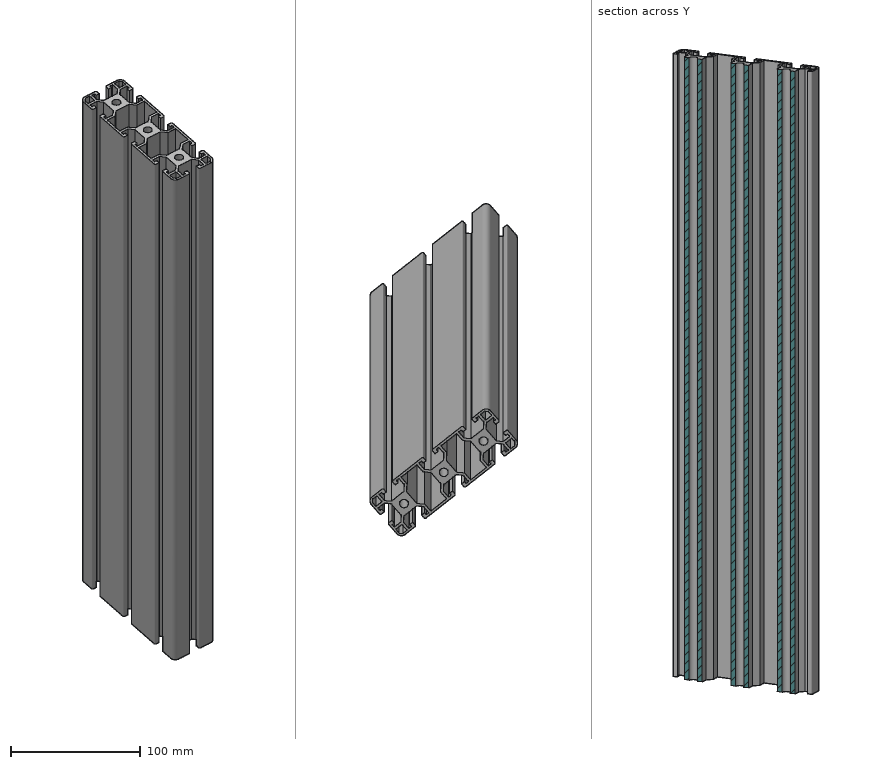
import cadquery as cq
import math

length = 500.0
module = 40.0
module_count = 3
half_module = module / 2
half_width = module_count * half_module
corner_radius = 4.5

slot_half_opening = 4.5
slot_half_width = 10.0
lip_depth = 4.0
lip_foot_width = 3.0
mouth_radius = 1.0

core_width = 15.5
half_core = core_width / 2
skin = 2.0
wall = 2.1
web_offset = 1.5
bore_radius = 3.4
corner_skin = 1.75
corner_cut = 2.0

core_centers = [(i - (module_count - 1) / 2) * module for i in range(module_count)]
chamber_centers = [x + half_module for x in core_centers[:-1]]


def mirrored(half_outline):
    """Close an outline by mirroring its points about the Y axis."""
    return half_outline + [(-x, y) for x, y in reversed(half_outline)]


def prism(points):
    """Full-length solid with the given closed outline."""
    return cq.Workplane("XY").polyline(points).close().extrude(length)


def mouth_flare():
    """Widening of a slot mouth that leaves its two outer edges rounded."""
    start = half_module - mouth_radius
    flared = slot_half_opening + mouth_radius
    middle = mouth_radius * math.sqrt(0.5)
    arc_x = flared - middle
    arc_y = start + middle
    return (
        cq.Workplane("XY")
        .moveTo(-slot_half_opening, start)
        .threePointArc((-arc_x, arc_y), (-flared, half_module))
        .lineTo(flared, half_module)
        .threePointArc((arc_x, arc_y), (slot_half_opening, start))
        .close()
        .extrude(length)
    )


def t_slot(center_x, angle):
    """T-slot opening towards +Y, turned about its module centre."""
    lip_inner = half_module - lip_depth
    groove_roof = half_module - skin
    foot_end = slot_half_opening + lip_foot_width
    floor_half_width = half_core - web_offset
    half_outline = [
        (slot_half_opening, half_module),
        (slot_half_opening, lip_inner),
        (foot_end, lip_inner),
        (foot_end, groove_roof),
        (slot_half_width, groove_roof),
        (slot_half_width, slot_half_width + web_offset),
        (floor_half_width, half_core),
    ]
    slot = prism(mirrored(half_outline)).union(mouth_flare())
    return slot.rotate((0, 0, 0), (0, 0, 1), angle).translate((center_x, 0, 0))


def chamber(center_x):
    """Hollow between two cores, running from the upper skin to the lower skin."""
    side = half_module - slot_half_width - wall
    core_side = half_module - half_core
    roof = half_module - skin
    upper_right = [
        (core_side, half_core - web_offset),
        (side, slot_half_width + wall - web_offset),
        (side, roof),
    ]
    right_side = [(x, -y) for x, y in reversed(upper_right)] + upper_right
    return prism(mirrored(right_side)).translate((center_x, 0, 0))


def corner_hollow(x_sign, y_sign):
    """Hollow in a profile corner, cut off diagonally on its outer side."""
    inner = half_module - slot_half_width - wall
    cut_end = corner_skin + corner_cut
    insets = [
        (inner, inner),
        (inner, corner_skin),
        (cut_end, corner_skin),
        (corner_skin, cut_end),
        (corner_skin, inner),
    ]
    outline = [(x_sign * (half_width - a), y_sign * (half_module - b)) for a, b in insets]
    return prism(outline)


result = (
    cq.Workplane("XY")
    .rect(2 * half_width, module)
    .extrude(length)
    .edges("|Z")
    .fillet(corner_radius)
)

for x in core_centers:
    result = result.cut(t_slot(x, 0)).cut(t_slot(x, 180))
result = result.cut(t_slot(core_centers[0], 90)).cut(t_slot(core_centers[-1], -90))

for x in chamber_centers:
    result = result.cut(chamber(x))

for x_sign in (-1, 1):
    for y_sign in (-1, 1):
        result = result.cut(corner_hollow(x_sign, y_sign))

bore_points = [(x, 0) for x in core_centers]
bores = cq.Workplane("XY").pushPoints(bore_points).circle(bore_radius).extrude(length)
result = result.cut(bores)